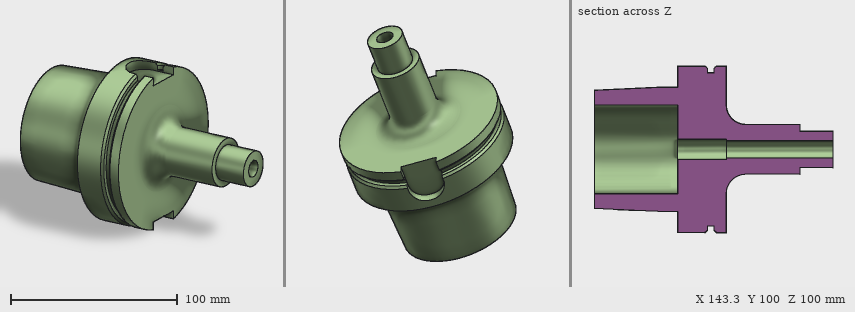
import cadquery as cq
import math

taper_end_x = 40.0
flange_start_x = 50.0
flange_end_x = 79.2
neck_step_x = 123.5
total_length = 143.3

taper_small_radius = 35.5
taper_large_radius = 37.4
flange_radius = 50.0
neck_radius = 15.0
tip_radius = 11.0
neck_fillet = 11.6

groove_start_x = 67.9
groove_end_x = 71.8
groove_floor_radius = 46.0
groove_chamfer = 1.5

socket_radius = 26.5
socket_depth = flange_start_x
step_bore_radius = 6.0
step_bore_end_x = flange_end_x
through_bore_radius = 5.2

notch_start_x = 55.0
notch_width = 22.2
notch_corner_radius = 10.0
notch_floor_z = 43.7


def turned_body():
    """Revolve the outer half-profile about the X axis."""
    rim_radius = flange_radius - groove_chamfer
    diagonal = neck_fillet * math.sqrt(0.5)
    fillet_center_x = flange_end_x + neck_fillet
    fillet_center_radius = neck_radius + neck_fillet
    profile = (
        cq.Workplane("XY")
        .moveTo(0, 0)
        .lineTo(0, taper_small_radius)
        .lineTo(taper_end_x, taper_large_radius)
        .lineTo(flange_start_x, taper_large_radius)
        .lineTo(flange_start_x, flange_radius)
        .lineTo(groove_start_x - groove_chamfer, flange_radius)
        .lineTo(groove_start_x, rim_radius)
        .lineTo(groove_start_x, groove_floor_radius)
        .lineTo(groove_end_x, groove_floor_radius)
        .lineTo(groove_end_x, rim_radius)
        .lineTo(groove_end_x + groove_chamfer, flange_radius)
        .lineTo(flange_end_x, flange_radius)
        .lineTo(flange_end_x, fillet_center_radius)
        .threePointArc(
            (fillet_center_x - diagonal, fillet_center_radius - diagonal),
            (fillet_center_x, neck_radius),
        )
        .lineTo(neck_step_x, neck_radius)
        .lineTo(neck_step_x, tip_radius)
        .lineTo(total_length, tip_radius)
        .lineTo(total_length, 0)
        .close()
    )
    return profile.revolve(360, (0, 0, 0), (1, 0, 0))


def bore(radius, depth):
    """Cylinder on the X axis, starting at the open end of the taper."""
    return cq.Workplane("YZ").circle(radius).extrude(depth)


def notch():
    """Flat-floored notch at the top of the flange, with its closed end rounded."""
    length = flange_end_x - notch_start_x
    height = flange_radius - notch_floor_z
    return (
        cq.Workplane("XY", origin=(notch_start_x, 0, notch_floor_z))
        .box(length, notch_width, height, centered=(False, True, False))
        .edges("|Z and <X")
        .fillet(notch_corner_radius)
    )


result = turned_body()

for bore_radius, bore_depth in (
    (socket_radius, socket_depth),
    (step_bore_radius, step_bore_end_x),
    (through_bore_radius, total_length),
):
    result = result.cut(bore(bore_radius, bore_depth))

for turn in (0, 180):
    result = result.cut(notch().rotate((0, 0, 0), (1, 0, 0), turn))